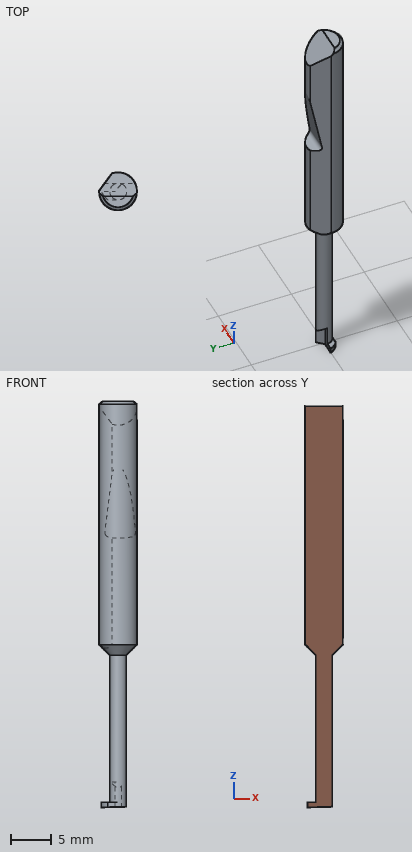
import math

import cadquery as cq

TOTAL_LENGTH = 50.8
SHANK_RADIUS = 4.76 / 2
NECK_RADIUS = 1.05
NECK_LENGTH = 19.05
TOP_CHAMFER = 0.4
CLEARANCE = 1.0

SHANK_FLAT_ANGLE = 143.5
SHANK_FLAT_DISTANCE = 1.95

BEVEL_START_Y = -0.61

NOTCH_TOP_DROP = 8.15
NOTCH_RAMP_ANGLE = 9.5
NOTCH_RAMP_LENGTH = 8.8
NOTCH_CORNER_RADIUS = 0.6

CUTTING_FACE_Y = 0.03
TIP_REACH = 2.1
TIP_HEIGHT = 0.7
TIP_BACK_Y = -1.04
TIP_HEEL_X = -1.28
TIP_RELIEF_BULGE = 0.1
END_RELIEF_ANGLE = 2.0

GULLET_ANGLE = 138.0
GULLET_EDGE_Y = 0.96
GULLET_HEIGHT = 3.25
GULLET_CORNER_RADIUS = 1.0


def make_bar():
    """Round shank, 45 degree cone and slim neck, turned about Z."""
    cone_top = NECK_LENGTH + SHANK_RADIUS - NECK_RADIUS
    profile = (
        cq.Workplane("XZ")
        .moveTo(0, 0)
        .lineTo(NECK_RADIUS, 0)
        .lineTo(NECK_RADIUS, NECK_LENGTH)
        .lineTo(SHANK_RADIUS, cone_top)
        .lineTo(SHANK_RADIUS, TOTAL_LENGTH - TOP_CHAMFER)
        .lineTo(SHANK_RADIUS - TOP_CHAMFER, TOTAL_LENGTH)
        .lineTo(0, TOTAL_LENGTH)
        .close()
    )
    return profile.revolve(360, (0, 0, 0), (0, 1, 0))


def outside_flat(angle, distance, bottom, height):
    """Block lying outside a vertical flat at the given distance from the axis."""
    width = 2 * (SHANK_RADIUS + CLEARANCE)
    return (
        cq.Workplane("XY")
        .box(width, width, height, centered=(False, True, False))
        .translate((distance, 0, bottom))
        .rotate((0, 0, 0), (0, 0, 1), angle)
    )


def extrude_across(sketch):
    """Extrude a YZ sketch along X through the whole bar."""
    return sketch.extrude(SHANK_RADIUS + CLEARANCE, both=True)


def make_bevel():
    """Wedge above the 45 degree bevel, on the +Y side of the top end."""
    reach = SHANK_RADIUS + CLEARANCE
    sketch = (
        cq.Workplane("YZ")
        .moveTo(BEVEL_START_Y, TOTAL_LENGTH)
        .lineTo(reach, TOTAL_LENGTH - (reach - BEVEL_START_Y))
        .lineTo(reach, TOTAL_LENGTH)
        .close()
    )
    return extrude_across(sketch)


def make_notch():
    """Ramp running inward and down, ending in a rounded square shoulder."""
    block_depth = SHANK_RADIUS + CLEARANCE
    block = (
        cq.Workplane("XY")
        .box(2 * block_depth, block_depth, NOTCH_RAMP_LENGTH, centered=(True, False, False))
        .translate((0, 0, -NOTCH_RAMP_LENGTH))
        .edges("<Y and <Z")
        .fillet(NOTCH_CORNER_RADIUS)
    )
    tilted = block.rotate((0, 0, 0), (1, 0, 0), -NOTCH_RAMP_ANGLE)
    return tilted.translate((0, SHANK_RADIUS, TOTAL_LENGTH - NOTCH_TOP_DROP))


def make_tip():
    """Tab with its cutting face toward +Y and a curved relief behind the edge."""
    edge = (-TIP_REACH, CUTTING_FACE_Y)
    heel = (TIP_HEEL_X, TIP_BACK_Y)
    run = heel[0] - edge[0]
    drop = heel[1] - edge[1]
    chord = math.hypot(run, drop)
    middle = (
        (edge[0] + heel[0]) / 2 + TIP_RELIEF_BULGE * drop / chord,
        (edge[1] + heel[1]) / 2 - TIP_RELIEF_BULGE * run / chord,
    )
    return (
        cq.Workplane("XY")
        .moveTo(*edge)
        .threePointArc(middle, heel)
        .lineTo(0, TIP_BACK_Y)
        .lineTo(0, CUTTING_FACE_Y)
        .close()
        .extrude(TIP_HEIGHT)
    )


def make_gullet():
    """Space between the cutting face and the gullet floor, rounded at its upper end."""
    normal = math.radians(GULLET_ANGLE)
    edge_x = math.sqrt(NECK_RADIUS**2 - GULLET_EDGE_Y**2)
    floor_distance = edge_x * math.cos(normal) + GULLET_EDGE_Y * math.sin(normal)
    open_side = outside_flat(GULLET_ANGLE, floor_distance, 0, GULLET_HEIGHT)
    side_profile = (
        cq.Workplane("YZ")
        .rect(NECK_RADIUS, GULLET_HEIGHT, centered=False)
        .extrude(SHANK_RADIUS + CLEARANCE, both=True)
        .edges(">Y and >Z")
        .fillet(GULLET_CORNER_RADIUS)
        .translate((0, CUTTING_FACE_Y, 0))
    )
    return open_side.intersect(side_profile)


def make_end_relief():
    """Material under the bottom face, which rises toward +X and -Y from the cutting corner."""
    width = 4 * SHANK_RADIUS
    return (
        cq.Workplane("XY")
        .box(width, width, CLEARANCE, centered=(True, True, False))
        .translate((0, 0, -CLEARANCE))
        .rotate((0, 0, 0), (0, 1, 0), -END_RELIEF_ANGLE)
        .rotate((0, 0, 0), (1, 0, 0), -END_RELIEF_ANGLE)
        .translate((-TIP_REACH, CUTTING_FACE_Y, 0))
    )


bar = make_bar()
bar = bar.cut(outside_flat(SHANK_FLAT_ANGLE, SHANK_FLAT_DISTANCE, NECK_LENGTH, TOTAL_LENGTH))
bar = bar.cut(make_bevel())
bar = bar.cut(make_notch())
bar = bar.cut(make_gullet())
bar = bar.union(make_tip())
result = bar.cut(make_end_relief())